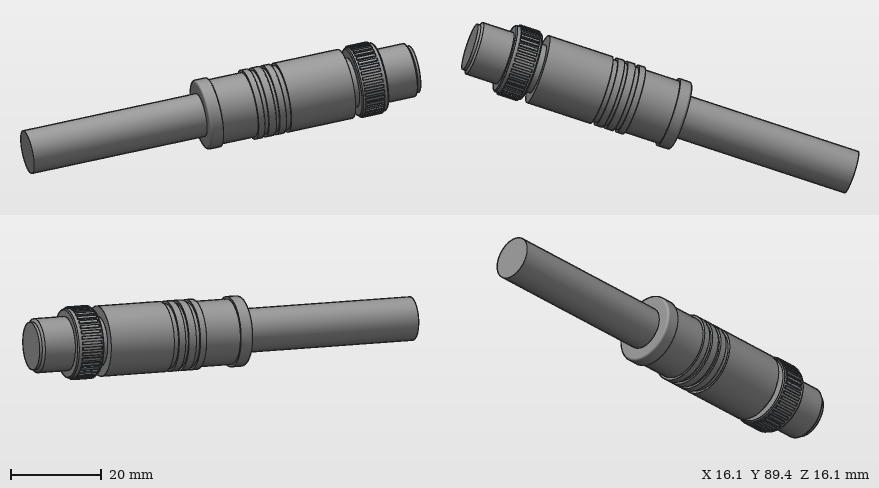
import cadquery as cq
import math

total_length = 89.4

tip_radius = 5.3
tip_length = 0.6
barrel_radius = 6.0
barrel_chamfer_end = 1.1

nut_start = 8.1
nut_end = 14.3
nut_radius = 7.7
nut_edge_chamfer = 0.3
knurl_start = 9.2
knurl_end = 13.6
knurl_radius = 8.05
tooth_count = 40
first_tooth_angle = -1
tooth_fill = 0.5
tooth_root_depth = 0.3

neck_radius = 5.5
housing_start = 15.9
housing_radius = 7.8
recess_radius = 7.2
grip_start = 30.75
grip_rings = [(31.9, 33.4), (34.2, 35.9), (36.9, 38.35)]
collar_start = 46.5
collar_end = 49.35
collar_fillet = 0.5

cable_radius = 4.8


def round_section(start, end, radius):
    """Cylinder along Y between two stations."""
    plane = cq.Workplane("XZ", origin=(0, -start, 0))
    return plane.circle(radius).extrude(end - start)


def make_barrel():
    outline = [
        (0, 0),
        (tip_radius, 0),
        (tip_radius, -tip_length),
        (barrel_radius, -barrel_chamfer_end),
        (barrel_radius, -nut_start),
        (0, -nut_start),
    ]
    return cq.Workplane("XY").polyline(outline).close().revolve(360, (0, 0), (0, 1))


def make_nut():
    nut = round_section(nut_start, nut_end, nut_radius)
    nut = nut.faces("<Y or >Y").edges().chamfer(nut_edge_chamfer)
    root_radius = nut_radius - tooth_root_depth
    tooth_width = tooth_fill * 2 * math.pi * knurl_radius / tooth_count
    teeth = (
        cq.Workplane("XZ", origin=(0, -knurl_start, 0))
        .polarArray((root_radius + knurl_radius) / 2, first_tooth_angle, 360, tooth_count)
        .rect(knurl_radius - root_radius, tooth_width)
        .extrude(knurl_end - knurl_start)
    )
    return nut.union(teeth)


def make_housing():
    housing = round_section(nut_end, housing_start, neck_radius)
    housing = housing.union(round_section(housing_start, grip_start, housing_radius))
    housing = housing.union(round_section(grip_start, collar_start, recess_radius))
    for ring_start, ring_end in grip_rings:
        housing = housing.union(round_section(ring_start, ring_end, housing_radius))
    collar = round_section(collar_start, collar_end, housing_radius)
    return housing.union(collar.faces("<Y").edges().fillet(collar_fillet))


plug = make_barrel().union(make_nut()).union(make_housing())
cable = round_section(collar_end, total_length, cable_radius)
result = plug.union(cable).translate((0, total_length / 2, 0))